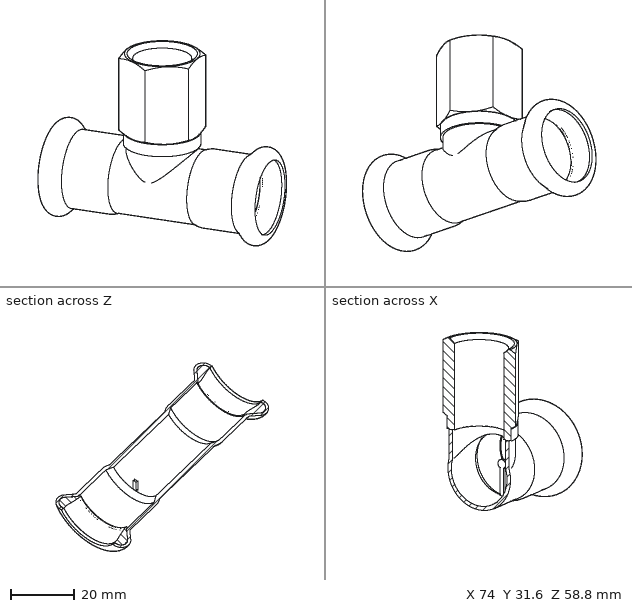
import cadquery as cq
import math

length = 74.0
half_length = length / 2
run_od = 24.0
run_bore = 21.0
socket_od = 25.3
socket_bore = 23.0
shoulder_inner_x = 13.55
shoulder_outer_x = 15.9
shoulder_bulge = 0.7
bead_start_x = 29.15
mouth_dia = 24.0

bead_od = 31.6
bead_center_r = socket_od / 2
bead_radius = bead_od / 2 - bead_center_r
bead_center_x = half_length - bead_radius
bead_wall = 1.1
groove_radius = bead_radius - bead_wall
flare_angle = 126
seal_id = 22.2
seal_inner_x = 28.8
seal_land_end_x = 30.0
seal_funnel_end_x = 34.8
seal_outer_x = bead_center_x + groove_radius

neck_od = 23.0
neck_bore = 20.0
collar_od = 24.6
collar_bottom = 12.9
hex_bottom = 16.9
hex_top = 43.0
hex_flats = 24.0
hex_corners = hex_flats / math.cos(math.radians(30))
hex_chamfer_dia = 23.8
hex_chamfer_drop = 1.0
adapter_bore = 18.65
entry_dia = 22.2
entry_depth = 1.55

tag_head_dia = 2.95
tag_stem_width = 1.25
tag_thickness = 0.75
tag_x = -shoulder_inner_x
tag_root_overlap = 0.4


def bead_point(radius, angle):
    """Point (x, r) at an angle in degrees on a circle about the bead centre."""
    turn = math.radians(angle)
    return bead_center_x + radius * math.cos(turn), bead_center_r + radius * math.sin(turn)


def revolve_about_x(profile):
    return profile.close().revolve(360, (0, 0, 0), (1, 0, 0))


def socket_outside():
    """Outer form of the +X socket and its bead, as a solid bar."""
    shoulder_mid = (
        (shoulder_inner_x + shoulder_outer_x) / 2,
        run_od / 2 + shoulder_bulge * (socket_od - run_od) / 2,
    )
    return revolve_about_x(
        cq.Workplane("XY")
        .moveTo(shoulder_inner_x, 0)
        .lineTo(shoulder_inner_x, run_od / 2)
        .threePointArc(shoulder_mid, (shoulder_outer_x, socket_od / 2))
        .lineTo(bead_start_x, socket_od / 2)
        .lineTo(*bead_point(bead_radius, flare_angle))
        .threePointArc(bead_point(bead_radius, flare_angle / 2), bead_point(bead_radius, 0))
        .lineTo(half_length, 0)
    )


def socket_inside():
    """Hollow of the +X socket, with its seal groove and mouth."""
    groove_start = bead_point(groove_radius, flare_angle)
    flare_start = bead_point(bead_radius, flare_angle)
    flare_slope = (flare_start[1] - socket_od / 2) / (flare_start[0] - bead_start_x)
    groove_foot_x = groove_start[0] - (groove_start[1] - socket_bore / 2) / flare_slope
    return revolve_about_x(
        cq.Workplane("XY")
        .moveTo(shoulder_inner_x, 0)
        .lineTo(shoulder_inner_x, run_bore / 2)
        .lineTo(shoulder_outer_x, socket_bore / 2)
        .lineTo(groove_foot_x, socket_bore / 2)
        .lineTo(*groove_start)
        .threePointArc(bead_point(groove_radius, flare_angle / 2), bead_point(groove_radius, 0))
        .lineTo(seal_outer_x, mouth_dia / 2)
        .lineTo(half_length, mouth_dia / 2)
        .lineTo(half_length, 0)
    )


def x_cylinder(diameter, start_x, end_x):
    return cq.Workplane("YZ", origin=(start_x, 0, 0)).circle(diameter / 2).extrude(end_x - start_x)


def run_with_sockets(middle_dia, socket):
    """Plain cylinder between the shoulders, with a socket form at each end."""
    middle = x_cylinder(middle_dia, -shoulder_inner_x, shoulder_inner_x)
    return middle.union(socket).union(socket.mirror("YZ"))


def make_tag():
    plane = cq.Workplane("YZ", origin=(tag_x, 0, 0))
    head = plane.circle(tag_head_dia / 2).extrude(tag_thickness)
    stem_length = run_bore / 2 + tag_root_overlap
    stem = plane.center(0, -stem_length / 2).rect(tag_stem_width, stem_length).extrude(tag_thickness)
    return head.union(stem)


def make_tee():
    neck = cq.Workplane("XY").circle(neck_od / 2).extrude(collar_bottom)
    neck_hole = cq.Workplane("XY").circle(neck_bore / 2).extrude(collar_bottom)
    body = run_with_sockets(run_od, socket_outside()).union(neck)
    body = body.cut(run_with_sockets(run_bore, socket_inside())).cut(neck_hole)
    return body.union(make_tag())


def make_hexagon():
    """Hexagon with corners on the Y axis, both ends turned to a cone."""
    prism = (
        cq.Workplane("XY", origin=(0, 0, hex_bottom))
        .transformed(rotate=(0, 0, 90))
        .polygon(6, hex_corners)
        .extrude(hex_top - hex_bottom)
    )
    turned = (
        cq.Workplane("XZ")
        .moveTo(0, hex_bottom)
        .lineTo(hex_chamfer_dia / 2, hex_bottom)
        .lineTo(hex_corners / 2, hex_bottom + hex_chamfer_drop)
        .lineTo(hex_corners / 2, hex_top - hex_chamfer_drop)
        .lineTo(hex_chamfer_dia / 2, hex_top)
        .lineTo(0, hex_top)
        .close()
        .revolve(360, (0, 0, 0), (0, 1, 0))
    )
    return prism.intersect(turned)


def make_adapter():
    collar = (
        cq.Workplane("XY", origin=(0, 0, collar_bottom))
        .circle(collar_od / 2)
        .extrude(hex_bottom - collar_bottom)
    )
    bore = (
        cq.Workplane("XZ")
        .moveTo(0, collar_bottom)
        .lineTo(adapter_bore / 2, collar_bottom)
        .lineTo(adapter_bore / 2, hex_top - entry_depth)
        .lineTo(entry_dia / 2, hex_top)
        .lineTo(0, hex_top)
        .close()
        .revolve(360, (0, 0, 0), (0, 1, 0))
    )
    return collar.union(make_hexagon()).cut(bore)


def make_seal():
    """Seal of the +X socket: fills the groove; its bore narrows inward to a straight land."""
    envelope = x_cylinder(bead_od, seal_inner_x, seal_outer_x)
    bore = revolve_about_x(
        cq.Workplane("XY")
        .moveTo(seal_inner_x, 0)
        .lineTo(seal_inner_x, seal_id / 2)
        .lineTo(seal_land_end_x, seal_id / 2)
        .lineTo(seal_funnel_end_x, mouth_dia / 2)
        .lineTo(seal_outer_x, mouth_dia / 2)
        .lineTo(seal_outer_x, 0)
    )
    return socket_inside().intersect(envelope).cut(bore)


def place_seals():
    """One seal per socket, turned about Z to face each end of the run."""
    return [make_seal().rotate((0, 0, 0), (0, 0, 1), turn).solids().val() for turn in (0, 180)]


tee = make_tee()
adapter = make_adapter()
seals = place_seals()

result = cq.Compound.makeCompound([tee.val(), adapter.val(), *seals])